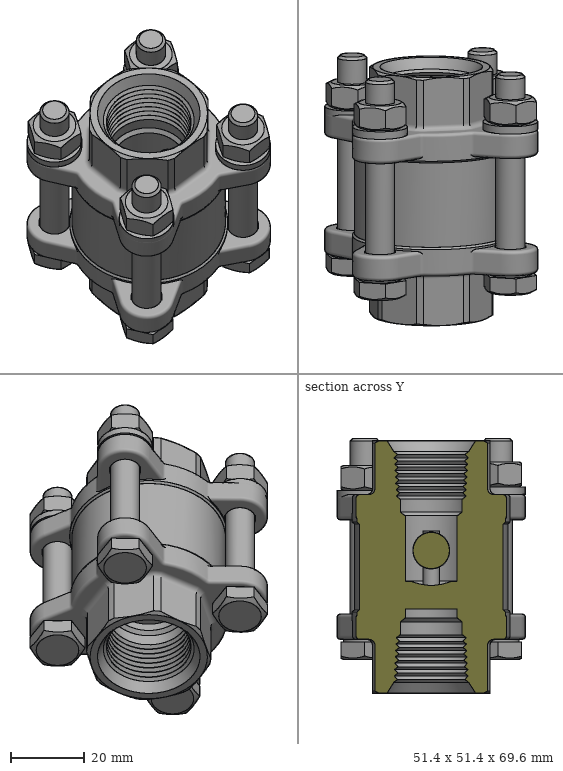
import cadquery as cq
import math

BODY_LENGTH = 69.0
MID_Z = BODY_LENGTH / 2
SHELL_DIA = 42.0

FLANGE_TOP = 54.3
LUG_BOTTOM = 47.3
FLANGE_BOTTOM = 46.2
FLANGE_DIA = 43.15
FLANGE_ROUND = 1.0
FLANGE_CHAMFER = 0.55
LUG_DIA = 15.0
LUG_SPACING = 36.4
LUG_OFFSET = LUG_SPACING / 2
LUG_RADIUS = LUG_DIA / 2
LUG_SIDE_ANGLE = 30.0
LUG_SIDE_LENGTH = 13.9
LUG_CORNER_ROUND = 1.4
BOLT_HOLE_DIA = 8.5

OCTAGON_SIDES = 8
OCTAGON_FLATS = 32.15
OCTAGON_TURNED_DIA = 34.0
OCTAGON_FACE_DIA = 32.0
OCTAGON_ROOT_ROUND = 1.5
CHAMFER_ANGLE = 30.0

ENTRY_DIA = 28.0
THREAD_ROOT_DIA = 24.8
THREAD_DEPTH = 0.85
THREAD_START = 3.0
THREAD_PITCH = 1.75
RIDGE_LEAD = 0.8
THREAD_RIDGES = 8
THREAD_END_DIA = 22.0
SOCKET_DEPTH = 19.5
BORE_DIA = 20.0

SEAT_Z = 30.6
SEAT_BOTTOM_Z = 23.0
DISH_DIA = 18.0
DISH_ANGLE = 30.0
GUIDE_BAR_DIA = 10.0
GUIDE_BAR_Z = 39.0
BAR_EMBED = 0.7
STEM_DIA = 4.5
STEM_PROUD = 0.3

BOLT_DIA = 8.0
BOLT_TOP = 69.6
BOLT_TIP_CHAMFER = 0.8
HEX_SIDES = 6
HEX_FLATS = 13.0
HEX_FACE_DIA = 11.6
HEAD_BOTTOM = 9.2
HEAD_TOP = 14.05
WASHER_DIA = 14.95
WASHER_THICKNESS = 2.1
NUT_HEIGHT = 6.8
LOW_NUT_DROP = 1.0

SELECT_MARGIN = 0.1


def cylinder(diameter, bottom, top):
    return cq.Workplane("XY").workplane(offset=bottom).circle(diameter / 2).extrude(top - bottom)


def prism(sides, flats, bottom, top):
    """Regular prism with a flat facing +X."""
    corner_dia = flats / math.cos(math.pi / sides)
    outline = cq.Workplane("XY").workplane(offset=bottom).polygon(sides, corner_dia)
    return outline.extrude(top - bottom).rotate((0, 0, 0), (0, 0, 1), 180 / sides)


def revolve(profile):
    """Turn a closed (radius, z) profile about the Z axis."""
    return cq.Workplane("XZ").polyline(profile).close().revolve(360, (0, 0, 0), (0, 1, 0))


def chamfered_blank(outer_dia, face_dia, bottom, top, chamfer_bottom, chamfer_top):
    """Turned blank whose chamfers trim the corners of a prism."""
    outer = outer_dia / 2
    face = face_dia / 2
    drop = (outer - face) * math.tan(math.radians(CHAMFER_ANGLE))
    profile = [(0, bottom)]
    if chamfer_bottom:
        profile += [(face, bottom), (outer, bottom + drop)]
    else:
        profile += [(outer, bottom)]
    if chamfer_top:
        profile += [(outer, top - drop), (face, top)]
    else:
        profile += [(outer, top)]
    profile += [(0, top)]
    return revolve(profile)


def at_every_lug(solid):
    """Copy a solid at the +X, +Y lug to all four lugs."""
    copies = solid
    for turn in (90, 180, 270):
        copies = copies.union(solid.rotate((0, 0, 0), (0, 0, 1), turn))
    return copies


def lug():
    """Rounded ear at +X, +Y with sides that spread towards the flange disc."""
    slope = math.radians(LUG_SIDE_ANGLE)
    tangent_x = LUG_OFFSET - LUG_RADIUS * math.sin(slope)
    tangent_y = LUG_OFFSET + LUG_RADIUS * math.cos(slope)
    inner_x = tangent_x - LUG_SIDE_LENGTH * math.cos(slope)
    inner_y = tangent_y - LUG_SIDE_LENGTH * math.sin(slope)
    tip = LUG_OFFSET + LUG_RADIUS / math.sqrt(2)
    return (
        cq.Workplane("XY").workplane(offset=LUG_BOTTOM)
        .moveTo(0, 0)
        .lineTo(inner_x, inner_y)
        .lineTo(tangent_x, tangent_y)
        .threePointArc((tip, tip), (tangent_y, tangent_x))
        .lineTo(inner_y, inner_x)
        .close()
        .extrude(FLANGE_TOP - LUG_BOTTOM)
    )


def flange():
    plate = cylinder(FLANGE_DIA, LUG_BOTTOM, FLANGE_TOP).union(at_every_lug(lug()))
    disc_limit = FLANGE_DIA / 2 + SELECT_MARGIN
    inner_corners = plate.edges("|Z").filter(
        lambda edge: math.hypot(edge.Center().x, edge.Center().y) < disc_limit
    )
    plate = inner_corners.fillet(LUG_CORNER_ROUND)
    plate = plate.faces("<Z or >Z").edges().fillet(FLANGE_ROUND)
    rim = cylinder(FLANGE_DIA, FLANGE_BOTTOM, FLANGE_TOP - FLANGE_ROUND)
    rim = rim.faces("<Z").chamfer(FLANGE_CHAMFER)
    return plate.union(rim)


def wrench_end():
    blank = chamfered_blank(OCTAGON_TURNED_DIA, OCTAGON_FACE_DIA, LUG_BOTTOM, BODY_LENGTH, False, True)
    return prism(OCTAGON_SIDES, OCTAGON_FLATS, LUG_BOTTOM, BODY_LENGTH).intersect(blank)


def body_end():
    """Upper flange and wrench end with a rounded root and clearance holes for the bolts."""
    end = flange().union(wrench_end())
    root_limit = OCTAGON_TURNED_DIA / 2 + SELECT_MARGIN
    root = end.edges(
        cq.selectors.BoxSelector(
            (-root_limit, -root_limit, FLANGE_TOP - SELECT_MARGIN),
            (root_limit, root_limit, FLANGE_TOP + SELECT_MARGIN),
        )
    )
    end = root.fillet(OCTAGON_ROOT_ROUND)
    hole = cylinder(BOLT_HOLE_DIA, LUG_BOTTOM, FLANGE_TOP).translate((LUG_OFFSET, LUG_OFFSET, 0))
    return end.cut(at_every_lug(hole))


def socket(inner_z):
    """Hollow of the upper end: entry cone, tapered thread ridges, cone to the bore, bore to inner_z."""
    crest_start = THREAD_ROOT_DIA / 2 - THREAD_DEPTH
    crest_step = (crest_start - THREAD_END_DIA / 2) / (THREAD_RIDGES - 1)
    profile = [(0, BODY_LENGTH), (ENTRY_DIA / 2, BODY_LENGTH)]
    for ridge in range(THREAD_RIDGES):
        root_z = BODY_LENGTH - THREAD_START - ridge * THREAD_PITCH
        crest = crest_start - ridge * crest_step
        profile.append((crest + THREAD_DEPTH, root_z))
        profile.append((crest, root_z - RIDGE_LEAD))
    socket_z = BODY_LENGTH - SOCKET_DEPTH
    cone_height = (THREAD_END_DIA - BORE_DIA) / 2
    profile += [
        (THREAD_END_DIA / 2, socket_z),
        (BORE_DIA / 2, socket_z - cone_height),
        (BORE_DIA / 2, inner_z),
        (0, inner_z),
    ]
    return revolve(profile)


def dish():
    """Conical hollow in the top of the seat."""
    depth = DISH_DIA / 2 * math.tan(math.radians(DISH_ANGLE))
    return revolve([(0, SEAT_Z), (DISH_DIA / 2, SEAT_Z), (0, SEAT_Z - depth)])


def guide():
    """Cross bar along Y with a stem rising from the seat and ending just above the bar."""
    half_length = BORE_DIA / 2 + BAR_EMBED
    section = cq.Workplane("XZ").center(0, GUIDE_BAR_Z).circle(GUIDE_BAR_DIA / 2)
    bar = section.extrude(half_length, both=True)
    stem_top = GUIDE_BAR_Z + GUIDE_BAR_DIA / 2 + STEM_PROUD
    return bar.union(cylinder(STEM_DIA, SEAT_BOTTOM_Z, stem_top))


def mirrored(solid):
    """The same solid at the other end of the body."""
    return solid.mirror("XY", (0, 0, MID_Z))


def fastener(nut_drop):
    """Bolt with head, washer and nut on the Z axis."""
    corner_dia = HEX_FLATS / math.cos(math.pi / HEX_SIDES)
    washer_top = FLANGE_TOP + WASHER_THICKNESS - nut_drop
    nut_top = washer_top + NUT_HEIGHT

    shank = cylinder(BOLT_DIA, HEAD_BOTTOM, BOLT_TOP).faces(">Z").chamfer(BOLT_TIP_CHAMFER)
    head = prism(HEX_SIDES, HEX_FLATS, HEAD_BOTTOM, HEAD_TOP)
    head = head.intersect(chamfered_blank(corner_dia, HEX_FACE_DIA, HEAD_BOTTOM, HEAD_TOP, True, False))
    head_face = cylinder(HEX_FACE_DIA, HEAD_TOP, BODY_LENGTH - FLANGE_TOP)
    washer = cylinder(WASHER_DIA, washer_top - WASHER_THICKNESS, washer_top)
    nut = prism(HEX_SIDES, HEX_FLATS, washer_top, nut_top)
    nut = nut.intersect(chamfered_blank(corner_dia, HEX_FACE_DIA, washer_top, nut_top, True, True))
    return shank.union(head).union(head_face).union(washer).union(nut)


upper_end = body_end()
shell = cylinder(SHELL_DIA, BODY_LENGTH - FLANGE_BOTTOM, FLANGE_BOTTOM)
result = shell.union(upper_end).union(mirrored(upper_end))
result = result.cut(socket(SEAT_Z)).cut(dish())
result = result.cut(mirrored(socket(BODY_LENGTH - SEAT_BOTTOM_Z)))
result = result.union(guide())

for side_x in (-1, 1):
    for side_y in (-1, 1):
        is_low = side_x > 0 and side_y < 0
        drop = LOW_NUT_DROP if is_low else 0
        result = result.union(fastener(drop).translate((side_x * LUG_OFFSET, side_y * LUG_OFFSET, 0)))